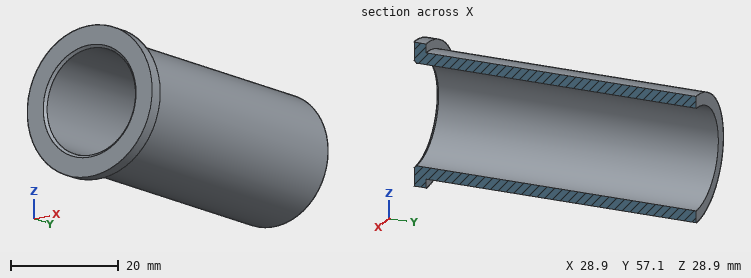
import cadquery as cq

length = 57.1
flange_diameter = 28.9
flange_thickness = 2.5
tube_diameter = 25.35
bore_diameter = 20.45
bore_chamfer = 0.5


def cylinder_along_y(diameter, height):
    """Solid cylinder starting at Y = 0 and extending toward +Y."""
    return cq.Workplane("XZ").circle(diameter / 2).extrude(-height)


tube = cylinder_along_y(tube_diameter, length)
flange = cylinder_along_y(flange_diameter, flange_thickness)
bore = cylinder_along_y(bore_diameter, length)
sleeve = tube.union(flange).cut(bore)

bore_mouth = cq.selectors.RadiusNthSelector(0)
result = sleeve.faces("<Y").edges(bore_mouth).chamfer(bore_chamfer)